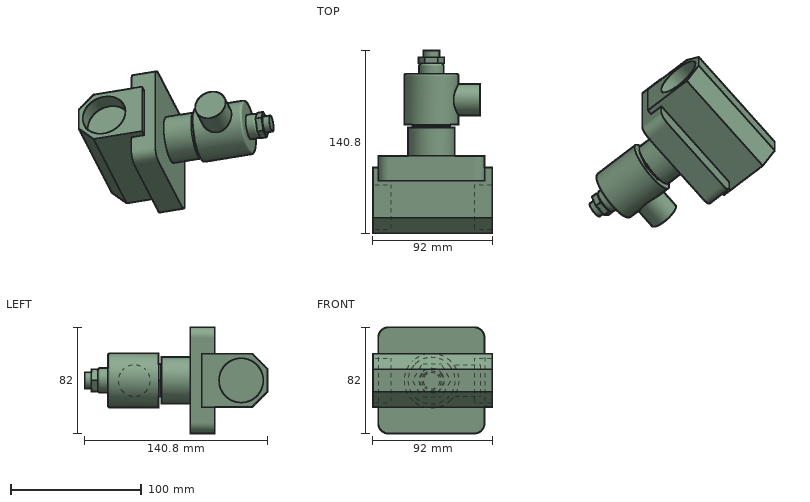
import cadquery as cq


block_length = 92.0
block_offset_x = 1.0
block_depth = 50.8
block_height = 41.3
block_chamfer = 12.0
port_diameter = 34.1
port_center_y = 20.4
port_depth = 14.0

plate_size = 82.0
plate_start = 40.5
plate_end = 59.7
plate_corner_radius = 8.2
sleeve_diameter = 36.0
sleeve_end = 81.7

lower_hex_corners = 29.4
lower_hex_start = 82.1
coil_diameter = 42.0
coil_start = 83.8
coil_end = 122.9
coil_edge_radius = 1.8
connector_diameter = 24.4
connector_reach = 37.6
connector_center_y = 102.8
neck_diameter = 19.1
neck_end = 130.8
neck_edge_radius = 2.1
nut_corners = 20.0
nut_end = 135.6
stud_diameter = 12.7
stud_end = 140.8


def section_at(y):
    """Workplane across the stem axis at height y, facing +Y, with local x along +X."""
    return cq.Workplane(cq.Plane(origin=(0, y, 0), xDir=(1, 0, 0), normal=(0, 1, 0)))


def disc(diameter, start, end):
    """Round step of the stem between two Y positions."""
    return section_at(start).circle(diameter / 2).extrude(end - start)


def hexagon(corners, start, end):
    """Hexagonal step of the stem, with two of its corners on the X axis."""
    return section_at(start).polygon(6, corners).extrude(end - start)


def make_block():
    """Long block, chamfered along its -Y edges, with a blind port in each end."""
    block = (
        cq.Workplane("XY")
        .box(block_length, block_depth, block_height)
        .translate((block_offset_x, block_depth / 2, 0))
        .faces("<Y").edges("|X").chamfer(block_chamfer)
    )
    for side in (-1, 1):
        end_x = block_offset_x + side * block_length / 2
        port = (
            cq.Workplane("YZ", origin=(end_x, 0, 0))
            .center(port_center_y, 0)
            .circle(port_diameter / 2)
            .extrude(-side * port_depth)
        )
        block = block.cut(port)
    return block


def make_valve_body():
    """Block, mounting plate and sleeve in one piece."""
    plate = (
        section_at(plate_start)
        .rect(plate_size, plate_size)
        .extrude(plate_end - plate_start)
        .edges("|Y").fillet(plate_corner_radius)
    )
    sleeve = disc(sleeve_diameter, plate_end, sleeve_end)
    return make_block().union(plate).union(sleeve)


def make_solenoid():
    """Coil housing with its side connector, base hexagon, neck, nut and stud."""
    coil = disc(coil_diameter, coil_start, coil_end).faces(">Y").edges().fillet(coil_edge_radius)
    connector = (
        cq.Workplane("YZ")
        .center(connector_center_y, 0)
        .circle(connector_diameter / 2)
        .extrude(connector_reach)
    )
    neck = disc(neck_diameter, coil_end, neck_end).faces(">Y").edges().fillet(neck_edge_radius)
    return (
        coil.union(connector)
        .union(hexagon(lower_hex_corners, lower_hex_start, coil_start))
        .union(neck)
        .union(hexagon(nut_corners, neck_end, nut_end))
        .union(disc(stud_diameter, nut_end, stud_end))
    )


valve_body = make_valve_body()
solenoid = make_solenoid()

result = cq.Compound.makeCompound([valve_body.val(), solenoid.val()])